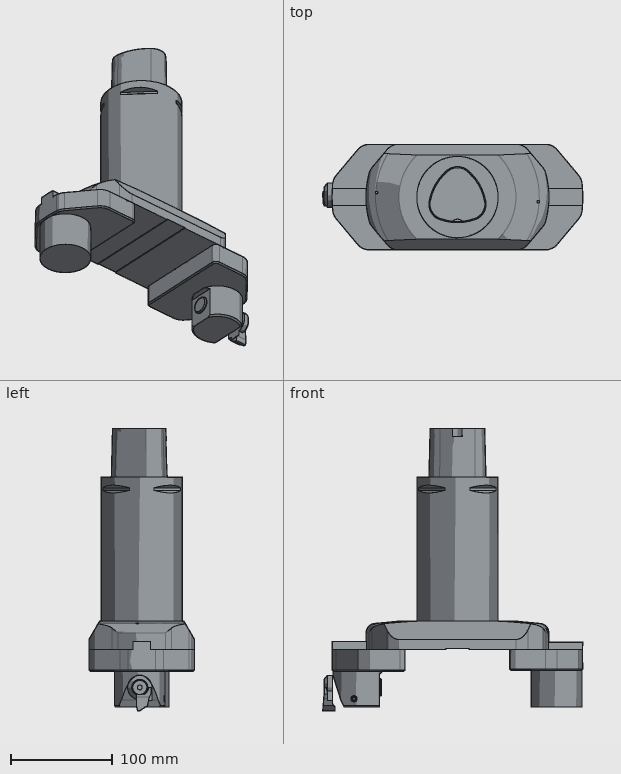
import cadquery as cq
import math

half_width = 52.0
side_angle = 50
corner_fillet = 15.0
bridge_bottom = 60.3
bridge_top = 88.5
bridge_end_radius = 90.0
bridge_corner_x = 64.8
bridge_flat_radius = 57.5
bridge_cone_radius = 80.5
bridge_cone_drop = 2.2
bridge_end_fillet = 9.5
bevel_edge_z = 70.3
bevel_top_y = 41.5
relief_width = 22.8
relief_depth = 0.8
pin_hole_diameter = 2.5
pin_hole_depth = 2.8
pin_hole_x = 79.5
pin_hole_y = 4.5

shank_diameter = 80.0
shank_top = 230.0
coupling_top = 278
lobe_offset = 14
lobe_radius = 16.0
joint_angle = 19.7
coupling_taper = 1.4
notch_radius = 6.0
notch_height = 8.0
notch_inner_y = -21.7
groove_z = 218.2
groove_floor = 2.5
groove_chord_distance = 35.5
groove_wall_angle = 30

slide_inner_x = 51.5
slide_inner_fillet = 5.0
slide_corner_x = 93.7
slide_end_radius = 123.5
slide_chamfer = 1.5
tool_slide_bottom = 39
weight_slide_bottom = 39.8
key_width = 17.0
tool_key_top = 68.5
weight_key_top = 67.5

head_bottom = 3.5
head_diameter = 50
head_x = 97.5
head_y = 2.0
tool_head_chamfer = 1.7
head_flat_x = -76.5
head_flat_shoulder = 2.8
relief_top_z = 35.3
relief_break = (-114.8, 10.5)
relief_end = (-111.0, 2.8)

axis_y = head_y
axis_z = 23.0
insert_back_x = -123.0
insert_rim_x = -128
insert_front_x = -131.2
insert_diameter = 24.0
insert_face_diameter = 15.8
head_seat_depth = 4.2
screw_head_diameter = 14
screw_head_recess = 0.8
screw_diameter = 8.5
socket_diameter = 4.7
socket_depth = 2.2
tip_x = -132.5
blade_side = [
    (-130.5, axis_z),
    (-131.5, 14),
    (tip_x, 0),
    (-120.5, 0),
    (-120.5, 4.0),
    (insert_back_x, 7.0),
    (insert_back_x, axis_z),
]
blade_front = [
    (5.3, axis_z),
    (5.3, 5.0),
    (4.2, 0),
    (2.0, 0),
    (-5.8, 5.3),
    (-7.0, 12.2),
    (-9.0, 16.7),
    (-9.0, axis_z),
]
heel_y = -10.3
heel_bottom = 10.0
heel_top = 19.7

set_screw_x = -101.7
set_screw_z = 12.0
set_screw_hole_diameter = 6.0
set_screw_diameter = 5.0
set_screw_socket_diameter = 2.5
set_screw_length = 8.3
set_screw_recess = 0.8
plug_diameter = 17.2
plug_depth = 2.8
plug_height = 2.0
plug_chamfer = 1.0

cut_margin = 14


def x_cylinder(diameter, x_start, x_end, y, z):
    """Cylinder along X between two X positions."""
    disc = cq.Workplane("YZ", origin=(x_start, 0, 0)).center(y, z).circle(diameter / 2)
    return disc.extrude(x_end - x_start)


def y_cylinder(diameter, x, z, y_start, y_end):
    """Cylinder along Y between two Y positions."""
    start = cq.Plane(origin=(x, y_start, z), xDir=(1, 0, 0), normal=(0, 1, 0))
    return cq.Workplane(start).circle(diameter / 2).extrude(y_end - y_start)


def point_reach(corner_x):
    """X where the two slanted sides starting at corner_x would meet."""
    return corner_x + half_width / math.tan(math.radians(side_angle))


def bridge_base():
    reach = point_reach(bridge_corner_x)
    plan = [
        (-reach, 0),
        (-bridge_corner_x, half_width),
        (bridge_corner_x, half_width),
        (reach, 0),
        (bridge_corner_x, -half_width),
        (-bridge_corner_x, -half_width),
    ]
    height = bridge_top - bridge_bottom
    base = cq.Workplane("XY", origin=(0, 0, bridge_bottom)).polyline(plan).close().extrude(height)
    ends = cq.Workplane("XY", origin=(0, 0, bridge_bottom)).circle(bridge_end_radius).extrude(height)
    base = base.intersect(ends).edges("|Z").fillet(corner_fillet)

    shoulder_z = bridge_top - bridge_cone_drop
    crown = (
        cq.Workplane("XZ")
        .moveTo(0, bridge_bottom)
        .lineTo(bridge_end_radius, bridge_bottom)
        .lineTo(bridge_end_radius, shoulder_z - bridge_end_fillet)
        .radiusArc((bridge_cone_radius, shoulder_z), -bridge_end_fillet)
        .lineTo(bridge_flat_radius, bridge_top)
        .lineTo(0, bridge_top)
        .close()
        .revolve(360, (0, 0, 0), (0, 1, 0))
    )
    bevelled_section = [
        (-half_width, bridge_bottom),
        (-half_width, bevel_edge_z),
        (-bevel_top_y, bridge_top),
        (bevel_top_y, bridge_top),
        (half_width, bevel_edge_z),
        (half_width, bridge_bottom),
    ]
    bevels = cq.Workplane("YZ").polyline(bevelled_section).close().extrude(reach, both=True)
    relief = cq.Workplane("XY", origin=(0, 0, bridge_bottom)).rect(relief_width, 3 * half_width)
    base = base.intersect(crown).intersect(bevels).cut(relief.extrude(relief_depth))

    holes = (
        cq.Workplane("XY", origin=(0, 0, bridge_top - pin_hole_depth))
        .pushPoints([(-pin_hole_x, pin_hole_y), (pin_hole_x, -pin_hole_y)])
        .circle(pin_hole_diameter / 2)
        .extrude(cut_margin)
    )
    return base.cut(holes)


def grip_grooves():
    """Four straight grooves with sloping walls, one on each diagonal of the shank."""
    depth = shank_diameter / 2 - groove_chord_distance + cut_margin
    flare = depth * math.tan(math.radians(groove_wall_angle))
    low = groove_z - groove_floor / 2
    high = groove_z + groove_floor / 2
    section = [
        (groove_chord_distance, low),
        (groove_chord_distance + depth, low - flare),
        (groove_chord_distance + depth, high + flare),
        (groove_chord_distance, high),
    ]
    groove = cq.Workplane("XZ").polyline(section).close().extrude(shank_diameter, both=True)
    axis = ((0, 0, 0), (0, 0, 1))
    grooves = groove.rotate(*axis, 45)
    for turn in (135, 225, 315):
        grooves = grooves.union(groove.rotate(*axis, turn))
    return grooves


def coupling():
    """Tapered three-lobed stub: three lobe arcs joined by three flat arcs, all tangent."""
    joint = math.radians(joint_angle)
    lobe_half_span = math.radians(60) - joint
    centre_gap = lobe_offset * math.sin(math.radians(60)) / math.sin(joint)
    flat_radius = lobe_radius + centre_gap
    flat_centre = centre_gap * math.cos(joint) - lobe_offset * math.cos(math.radians(60))
    flat_reach = flat_radius - flat_centre

    def lobe_point(lobe_direction, normal):
        return (
            lobe_offset * math.cos(lobe_direction) + lobe_radius * math.cos(normal),
            lobe_offset * math.sin(lobe_direction) + lobe_radius * math.sin(normal),
        )

    directions = [math.radians(angle) for angle in (90, 210, 330)]
    outline = cq.Workplane("XY", origin=(0, 0, shank_top))
    outline = outline.moveTo(*lobe_point(directions[0], directions[0] - lobe_half_span))
    for index, direction in enumerate(directions):
        following = directions[(index + 1) % len(directions)]
        middle = direction + math.radians(60)
        outline = outline.threePointArc(
            lobe_point(direction, direction), lobe_point(direction, direction + lobe_half_span)
        ).threePointArc(
            (flat_reach * math.cos(middle), flat_reach * math.sin(middle)),
            lobe_point(following, following - lobe_half_span),
        )
    stub = outline.close().extrude(coupling_top - shank_top, taper=coupling_taper)
    notch = (
        cq.Workplane("XY", origin=(0, notch_inner_y - notch_radius, coupling_top - notch_height))
        .circle(notch_radius)
        .extrude(notch_height)
    )
    return stub.cut(notch)


def make_bridge(slides):
    shank = cq.Workplane("XY", origin=(0, 0, bridge_top)).circle(shank_diameter / 2)
    shank = shank.extrude(shank_top - bridge_top).cut(grip_grooves())
    bridge = bridge_base().union(shank).union(coupling())
    for slide in slides:
        bridge = bridge.cut(slide)
    return bridge


def make_slide(bottom, key_top):
    """Plate with a key on top, built on the +X side."""
    plan = [
        (slide_inner_x, half_width),
        (slide_corner_x, half_width),
        (point_reach(slide_corner_x), 0),
        (slide_corner_x, -half_width),
        (slide_inner_x, -half_width),
    ]
    height = bridge_bottom - bottom
    ends = cq.Workplane("XY", origin=(0, 0, bottom)).circle(slide_end_radius).extrude(key_top - bottom)
    plate = cq.Workplane("XY", origin=(0, 0, bottom)).polyline(plan).close().extrude(height)
    plate = plate.intersect(ends)
    plate = plate.edges("|Z and (not <X)").fillet(corner_fillet)
    plate = plate.edges("|Z and <X").fillet(slide_inner_fillet)
    plate = plate.faces("<Z").chamfer(slide_chamfer)
    key = cq.Workplane("XY", origin=(slide_inner_x, -key_width / 2, bridge_bottom)).box(
        slide_end_radius, key_width, key_top - bridge_bottom, centered=False)
    return plate.union(key.intersect(ends))


def round_head(x, y, top):
    """Cylinder hanging below a slide."""
    head = cq.Workplane("XY", origin=(x, y, head_bottom)).circle(head_diameter / 2)
    return head.extrude(top - head_bottom)


def tool_head():
    """Round head with a relief behind the insert and a flat on the inner side."""
    head = round_head(-head_x, head_y, tool_slide_bottom).faces("<Z").chamfer(tool_head_chamfer)
    outer_x = -head_x - head_diameter / 2
    relief_section = [
        (outer_x, relief_top_z),
        relief_break,
        relief_end,
        (outer_x - cut_margin, relief_end[1]),
        (outer_x - cut_margin, relief_top_z),
    ]
    relief = cq.Workplane("XZ").polyline(relief_section).close().extrude(head_diameter, both=True)
    flat_section = [
        (head_flat_x, 0),
        (head_flat_x, tool_slide_bottom - head_flat_shoulder),
        (head_flat_x + head_flat_shoulder, tool_slide_bottom),
        (head_flat_x + cut_margin, tool_slide_bottom),
        (head_flat_x + cut_margin, 0),
    ]
    flat = cq.Workplane("XZ").polyline(flat_section).close().extrude(head_diameter, both=True)
    return head.cut(relief).cut(flat)


def set_screw_face():
    """Y of the tool head's surface at the set screw."""
    return head_y - math.sqrt((head_diameter / 2) ** 2 - (set_screw_x + head_x) ** 2)


def make_set_screw():
    start = set_screw_face() + set_screw_recess
    screw = y_cylinder(set_screw_diameter, set_screw_x, set_screw_z, start, start + set_screw_length)
    socket = y_cylinder(set_screw_socket_diameter, set_screw_x, set_screw_z, start, start + socket_depth)
    return screw.cut(socket)


def make_plug():
    plug = x_cylinder(plug_diameter, head_flat_x - plug_depth, head_flat_x + plug_height, axis_y, axis_z)
    return plug.faces(">X").chamfer(plug_chamfer)


def make_tool_slide(set_screw, plug):
    slide = make_slide(tool_slide_bottom, tool_key_top).mirror("YZ").union(tool_head())
    start = set_screw_face() + set_screw_recess
    mouth = y_cylinder(
        set_screw_hole_diameter, set_screw_x, set_screw_z, start - cut_margin, start)
    bore = y_cylinder(set_screw_diameter, set_screw_x, set_screw_z, start, start + set_screw_length)
    return slide.cut(mouth).cut(bore).cut(plug)


def make_weight_slide():
    weight = round_head(head_x, -head_y, weight_slide_bottom)
    return make_slide(weight_slide_bottom, weight_key_top).union(weight)


def make_insert_screw():
    front = insert_front_x + screw_head_recess
    seat = insert_front_x + head_seat_depth
    head = x_cylinder(screw_head_diameter, front, seat, axis_y, axis_z)
    shaft = x_cylinder(screw_diameter, seat, insert_back_x, axis_y, axis_z)
    socket = x_cylinder(socket_diameter, front, front + socket_depth, axis_y, axis_z)
    return head.union(shaft).cut(socket)


def insert_blade():
    """Tapered cutting blade below the disc, where a side and a front outline cross."""
    side_prism = cq.Workplane("XZ").polyline(blade_side).close().extrude(insert_diameter, both=True)
    front_prism = cq.Workplane("YZ").polyline(blade_front).close().extrude(2 * tip_x)
    return side_prism.intersect(front_prism)


def make_insert():
    disc = x_cylinder(insert_diameter, insert_rim_x, insert_back_x, axis_y, axis_z)
    front = (
        cq.Workplane("YZ", origin=(insert_rim_x, axis_y, axis_z))
        .circle(insert_diameter / 2)
        .workplane(offset=insert_front_x - insert_rim_x)
        .circle(insert_face_diameter / 2)
        .loft()
    )
    heel = cq.Workplane("XY", origin=(insert_rim_x, heel_y, heel_bottom)).box(
        insert_back_x - insert_rim_x, -heel_y, heel_top - heel_bottom, centered=False)
    insert = disc.union(front).union(heel).union(insert_blade())
    seat = insert_front_x + head_seat_depth
    head_bore = x_cylinder(screw_head_diameter, insert_front_x - cut_margin, seat, axis_y, axis_z)
    shaft_bore = x_cylinder(screw_diameter, seat, insert_back_x, axis_y, axis_z)
    return insert.cut(head_bore).cut(shaft_bore)


set_screw = make_set_screw()
plug = make_plug()
tool_slide = make_tool_slide(set_screw, plug)
weight_slide = make_weight_slide()
bridge = make_bridge([tool_slide, weight_slide])
insert = make_insert()
insert_screw = make_insert_screw()

result = cq.Compound.makeCompound([
    bridge.val(),
    tool_slide.val(),
    weight_slide.val(),
    insert.val(),
    insert_screw.val(),
    set_screw.val(),
    plug.val(),
])